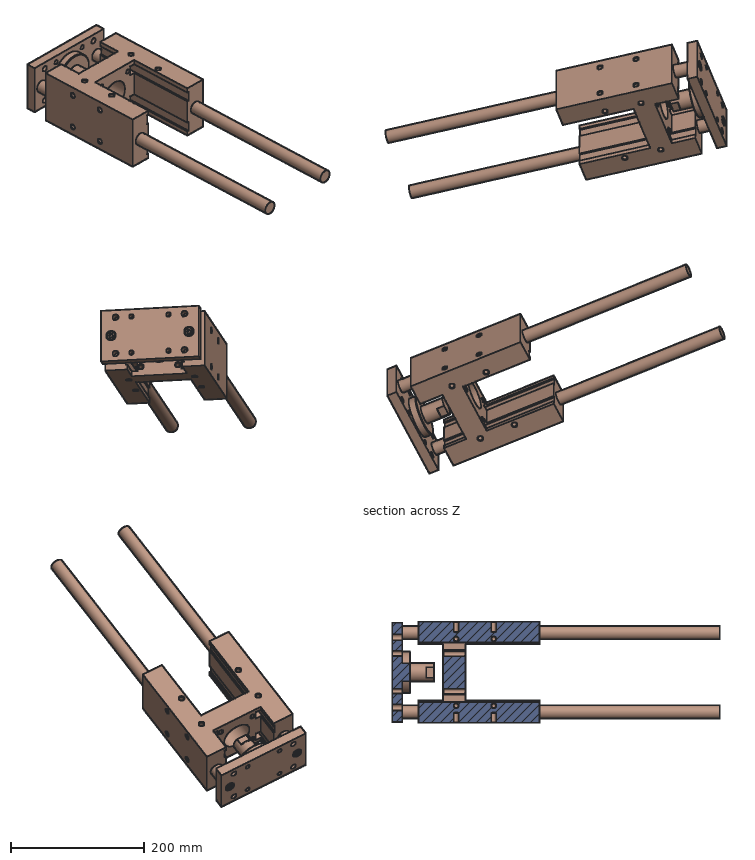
import cadquery as cq
import math

total_length = 492.0

plate_thickness = 15.3
plate_width = 149.5
plate_height = 79.0

block_width = 152.0
block_height = 85.0
block_start = 39.5
block_length = 182.0
arm_thickness = 34.0
web_start = 76.5
web_thickness = 34.0
web_bore_diameter = 45.0
arm_inner_y = block_width / 2 - arm_thickness
block_end = block_start + block_length
web_end = web_start + web_thickness

slot_depth_in_arm = 2.5
slot_depth_in_web = 8.5
slot_bottom_z = 19.0
slot_top_z = 35.0

rod_diameter = 20.0
rod_y = 59.5
counterbore_diameter = 15.0
counterbore_depth = 9.0
head_diameter = 14.0
head_height = 8.5
head_chamfer = 1.0
socket_across_flats = 5.5
socket_depth = 4.0

flange_diameter = 63.0
flange_thickness = 12.0
flange_chamfer = 1.0
spigot_diameter = 28.0
spigot_end = 63.0
spigot_across_flats = 23.0
flat_length = 12.0

hole_pitch = 56.5
half_pitch = hole_pitch / 2
small_hole_diameter = 7.0
large_hole_diameter = 9.0
plate_outer_hole_y = 52.5

blind_hole_start_x = 96.0
blind_hole_top_y = 50.0
blind_hole_depth = 15.0
drill_point_angle = 140.0

SIDES = (-1, 1)


def box(x_min, x_max, y_min, y_max, z_min, z_max):
    """Box given by its limits along each axis."""
    size = (x_max - x_min, y_max - y_min, z_max - z_min)
    return cq.Workplane("XY").box(*size, centered=False).translate((x_min, y_min, z_min))


def centred_box(x_min, x_max, width, height):
    """Box centred on the X axis."""
    return box(x_min, x_max, -width / 2, width / 2, -height / 2, height / 2)


def rod_along_x(diameter, x_min, x_max, y=0.0, z=0.0):
    """Cylinder parallel to the X axis."""
    return cq.Workplane("YZ", origin=(x_min, y, z)).circle(diameter / 2).extrude(x_max - x_min)


def threaded_hole_cutter(mouth, direction, depth):
    """Countersunk bore with a conical drill point, entering at the mouth along the direction."""
    bore_radius = small_hole_diameter / 2
    mouth_radius = large_hole_diameter / 2
    countersink_depth = mouth_radius - bore_radius
    point_length = bore_radius / math.tan(math.radians(drill_point_angle / 2))
    start = cq.Vector(*mouth)
    axis = cq.Vector(*direction)
    countersink = cq.Solid.makeCone(mouth_radius, bore_radius, countersink_depth, start, axis)
    bore = cq.Solid.makeCylinder(bore_radius, depth, start, axis)
    point = cq.Solid.makeCone(bore_radius, 0, point_length, start + axis * depth, axis)
    return cq.Workplane(countersink.fuse(bore, point))


def make_plate():
    """Front plate with its eight through holes."""
    plate = centred_box(0, plate_thickness, plate_width, plate_height)
    hole_kinds = ((half_pitch, small_hole_diameter), (plate_outer_hole_y, large_hole_diameter))
    for y_side in SIDES:
        for z_side in SIDES:
            for y, diameter in hole_kinds:
                hole = rod_along_x(diameter, 0, plate_thickness, y_side * y, z_side * half_pitch)
                plate = plate.cut(hole)
    return plate


def make_coupling():
    """Flange disc with a chamfered rear rim and a spigot with two flats at its end."""
    flange_end = plate_thickness + flange_thickness
    flange = rod_along_x(flange_diameter, plate_thickness, flange_end).faces(">X").chamfer(flange_chamfer)
    spigot = rod_along_x(spigot_diameter, plate_thickness, spigot_end)
    flat_start = spigot_end - flat_length
    waste = centred_box(flat_start, spigot_end, spigot_diameter, spigot_diameter)
    waste = waste.cut(centred_box(flat_start, spigot_end, spigot_diameter, spigot_across_flats))
    return flange.union(spigot.cut(waste))


def make_block_body():
    """H-shaped block with the bore through its web."""
    body = centred_box(block_start, block_end, block_width, block_height)
    for x_min, x_max in ((block_start, web_start), (web_end, block_end)):
        body = body.cut(centred_box(x_min, x_max, 2 * arm_inner_y, block_height))
    return body.cut(rod_along_x(web_bore_diameter, web_start, web_end))


def cut_slot(block, y_side, z_side):
    """Cut one straight slot along the inner face of an arm and through the web."""
    inner_y = arm_inner_y - slot_depth_in_web
    outer_y = arm_inner_y + slot_depth_in_arm
    y_limits = sorted((y_side * inner_y, y_side * outer_y))
    z_limits = sorted((z_side * slot_bottom_z, z_side * slot_top_z))
    return block.cut(box(block_start, block_end, *y_limits, *z_limits))


def cut_threaded_holes(block, y_side, z_side):
    """Cut the web hole and the blind side and top or bottom holes of one quarter of the block."""
    web_mouth = (web_start, y_side * half_pitch, z_side * half_pitch)
    block = block.cut(threaded_hole_cutter(web_mouth, (1, 0, 0), web_thickness))
    for x in (blind_hole_start_x, blind_hole_start_x + hole_pitch):
        side_mouth = (x, y_side * block_width / 2, z_side * half_pitch)
        block = block.cut(threaded_hole_cutter(side_mouth, (0, -y_side, 0), blind_hole_depth))
        flat_mouth = (x, y_side * blind_hole_top_y, z_side * block_height / 2)
        block = block.cut(threaded_hole_cutter(flat_mouth, (0, 0, -z_side), blind_hole_depth))
    return block


def make_block():
    """Complete guide block, symmetric about its middle planes in Y and Z."""
    block = make_block_body()
    for y_side in SIDES:
        for z_side in SIDES:
            block = cut_slot(block, y_side, z_side)
            block = cut_threaded_holes(block, y_side, z_side)
    return block


def make_screw_head(y):
    """Socket screw head sitting on the floor of its counterbore."""
    head_start = counterbore_depth - head_height
    head = rod_along_x(head_diameter, head_start, counterbore_depth, y).faces("<X").chamfer(head_chamfer)
    socket_corners = socket_across_flats / math.cos(math.pi / 6)
    socket = cq.Workplane("YZ", origin=(head_start, y, 0)).polygon(6, socket_corners).extrude(socket_depth)
    return head.cut(socket)


result = make_plate().union(make_coupling()).union(make_block())
for side in SIDES:
    rod_centre_y = side * rod_y
    result = result.union(rod_along_x(rod_diameter, plate_thickness, total_length, rod_centre_y))
    result = result.cut(rod_along_x(counterbore_diameter, 0, counterbore_depth, rod_centre_y))
    result = result.union(make_screw_head(rod_centre_y))